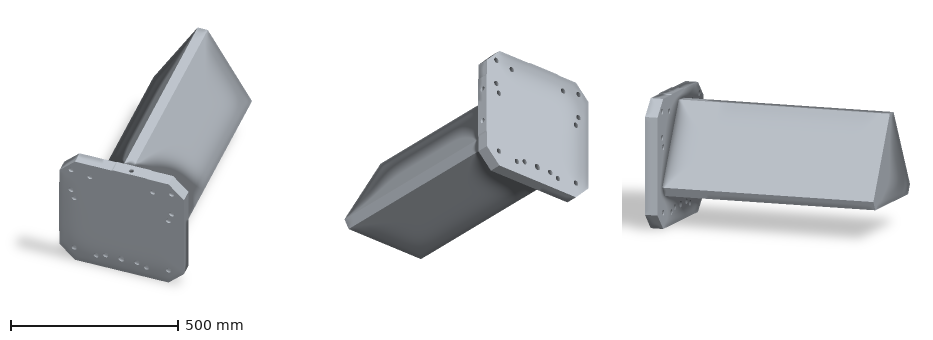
import cadquery as cq
import math

ENVELOPE = 398.0
PLATE_THICKNESS = 40.0
PLATE_CORNER = 49.0

PAD_HEIGHT = 2.0
PAD_FACE = ENVELOPE / 2
PAD_BASE = PAD_FACE - PAD_HEIGHT
PLATE_SIDE = ENVELOPE - PAD_HEIGHT
PAD_END_RADIUS = 13.0
PAD_RAMP = math.sqrt(PAD_END_RADIUS**2 - (PAD_END_RADIUS - PAD_HEIGHT) ** 2)
SIDE_PAD_LENGTH = 206.0
SIDE_PAD_CENTRE = 0.0
TOP_PAD_LENGTH = 120.0
TOP_PAD_CENTRE = 25.0

TOTAL_DEPTH = 714.0
POST_LENGTH = TOTAL_DEPTH - PLATE_THICKNESS
POST_INRADIUS = 100.0
POST_CORNER_FLAT = 32.3

BOLT_DIAMETER = 17.0
MIRRORED_BOLTS = [
    (160.0, 160.0),
    (160.0, 80.0),
    (150.0, 50.0),
    (150.0, -150.0),
    (100.0, 150.0),
    (80.0, -160.0),
    (50.0, -150.0),
]
LOCATING_DIAMETER = 20.0
LOCATING_HOLE = (0.0, -150.0)

TAP_DIAMETER = 13.84
TAP_MOUTH_DIAMETER = 17.0
TAP_DEPTH = 30.0
TAP_SETBACK = 18.0
SIDE_TAP_OFFSET = 55.0


def back_plane(start):
    """Plane at Y = start whose local axes are X and Z; it looks towards -Y."""
    return cq.Workplane(cq.Plane(origin=(0, start, 0), xDir=(1, 0, 0), normal=(0, -1, 0)))


def make_plate():
    plate = cq.Workplane("XY").box(PLATE_SIDE, PLATE_THICKNESS, PLATE_SIDE, centered=(True, False, True))
    plate = plate.edges("|Y").chamfer(PLATE_CORNER)
    return plate.translate((PAD_HEIGHT / 2, 0, -PAD_HEIGHT / 2))


def make_pad(centre, length):
    """Pad on the +Z edge; each end is a concave arc running out tangent to the plate edge."""
    mid_angle = math.asin(PAD_RAMP / PAD_END_RADIUS) / 2
    mid_run = PAD_END_RADIUS * math.sin(mid_angle)
    mid_height = PAD_BASE + PAD_END_RADIUS * (1 - math.cos(mid_angle))
    left = centre - length / 2
    right = centre + length / 2
    return (
        back_plane(0)
        .moveTo(left, PAD_BASE)
        .lineTo(right, PAD_BASE)
        .threePointArc((right - mid_run, mid_height), (right - PAD_RAMP, PAD_FACE))
        .lineTo(left + PAD_RAMP, PAD_FACE)
        .threePointArc((left + mid_run, mid_height), (left, PAD_BASE))
        .close()
        .extrude(-PLATE_THICKNESS)
    )


def make_top_pad():
    return make_pad(TOP_PAD_CENTRE, TOP_PAD_LENGTH)


def make_side_pad():
    return make_pad(SIDE_PAD_CENTRE, SIDE_PAD_LENGTH).rotate((0, 0, 0), (0, 1, 0), -90)


def make_post():
    """Equilateral prism pointing up, centred on the Y axis, with its three corners cut flat."""
    corner_radius = 2 * POST_INRADIUS
    flat_distance = corner_radius - POST_CORNER_FLAT / 2 * math.sqrt(3)
    points = []
    for corner in range(3):
        angle = math.radians(90 + 120 * corner)
        for side in (-1, 1):
            along = side * POST_CORNER_FLAT / 2
            x = flat_distance * math.cos(angle) - along * math.sin(angle)
            z = flat_distance * math.sin(angle) + along * math.cos(angle)
            points.append((x, z))
    return back_plane(PLATE_THICKNESS).polyline(points).close().extrude(-POST_LENGTH)


def plate_hole(x, z, diameter):
    direction = cq.Vector(0, 1, 0)
    return cq.Solid.makeCylinder(diameter / 2, PLATE_THICKNESS, cq.Vector(x, 0, z), direction)


def tapped_hole(mouth, direction):
    """Blind hole with a 45 degree countersunk mouth."""
    sink_depth = (TAP_MOUTH_DIAMETER - TAP_DIAMETER) / 2
    bore = cq.Solid.makeCylinder(TAP_DIAMETER / 2, TAP_DEPTH, mouth, direction)
    sink = cq.Solid.makeCone(TAP_MOUTH_DIAMETER / 2, TAP_DIAMETER / 2, sink_depth, mouth, direction)
    return bore.fuse(sink)


def cut_plate_holes(part):
    for bolt_x, bolt_z in MIRRORED_BOLTS:
        for side in (-1, 1):
            part = part.cut(plate_hole(side * bolt_x, bolt_z, BOLT_DIAMETER))
    return part.cut(plate_hole(*LOCATING_HOLE, LOCATING_DIAMETER))


def cut_tapped_holes(part):
    top_mouth = cq.Vector(TOP_PAD_CENTRE, TAP_SETBACK, PAD_FACE)
    part = part.cut(tapped_hole(top_mouth, cq.Vector(0, 0, -1)))
    for side in (-1, 1):
        side_mouth = cq.Vector(-PAD_FACE, TAP_SETBACK, SIDE_PAD_CENTRE + side * SIDE_TAP_OFFSET)
        part = part.cut(tapped_hole(side_mouth, cq.Vector(1, 0, 0)))
    return part


blank = make_plate().union(make_top_pad()).union(make_side_pad()).union(make_post())
result = cut_tapped_holes(cut_plate_holes(blank))